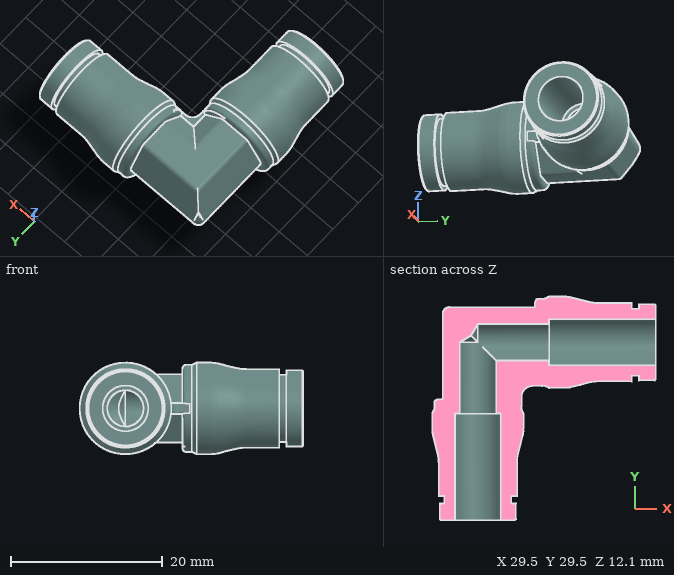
import cadquery as cq
import math

MITRE_NORMAL = (1, 1, 0)

longest_side = 29.48
barrel_radius = 6.05
socket_end = longest_side - barrel_radius
sleeve_start = 7.45
rim_crown = 7.58
rim_start = 8.0
rim_end = 8.75
barrel_start = 9.37
barrel_end = 11.32
shoulder_length = 0.97
taper_length = 2.27
neck_blend_length = 1.3
taper_angle = math.radians(14.2)
neck_end = 20.25
collar_start = 21.2

face_radius = 5.07
rim_crown_radius = 5.5
rim_radius = 5.75
groove_radius = 4.45
collar_radius = 5.05
collar_chamfer = 0.18

tube_bore_radius = 3.0
flow_bore_radius = 2.4
drill_tip_angle = math.radians(118)

elbow_half_height = 4.5
outer_slope = math.radians(30)
outer_flat = 2.27
outer_apex = outer_flat + elbow_half_height * math.tan(outer_slope)
inner_flat = 2.18
inner_edge = 5.2
inner_edge_half_height = 0.77
outer_apex_fillet = 1.33
flat_fillet = 0.7
outer_crest = outer_apex - outer_apex_fillet * (1 / math.cos(outer_slope) - 1)
nose_radius = 0.97
nose_center = outer_crest - nose_radius

web_half_thickness = 0.68
web_offset = 5.78
web_end = 8.45
web_corner_fillet = 1.42
web_edge_fillet = 0.18


def make_sleeve():
    """Revolved outside of the +X socket, without its bores."""
    blend_drop = math.tan(taper_angle / 2)
    taper_start = barrel_end + shoulder_length
    taper_start_radius = barrel_radius - shoulder_length * blend_drop
    taper_end = taper_start + taper_length
    taper_end_radius = taper_start_radius - taper_length * math.tan(taper_angle)
    neck_start = taper_end + neck_blend_length
    neck_radius = taper_end_radius - neck_blend_length * blend_drop
    profile = (
        cq.Workplane("XY")
        .moveTo(sleeve_start, 0)
        .lineTo(sleeve_start, face_radius)
        .tangentArcPoint((rim_crown, rim_crown_radius), relative=False)
        .tangentArcPoint((rim_start, rim_radius), relative=False)
        .lineTo(rim_end, rim_radius)
        .lineTo(barrel_start, barrel_radius)
        .lineTo(barrel_end, barrel_radius)
        .tangentArcPoint((taper_start, taper_start_radius), relative=False)
        .lineTo(taper_end, taper_end_radius)
        .tangentArcPoint((neck_start, neck_radius), relative=False)
        .lineTo(neck_end, neck_radius)
        .lineTo(neck_end, groove_radius)
        .lineTo(collar_start, groove_radius)
        .lineTo(collar_start, collar_radius)
        .lineTo(socket_end - collar_chamfer, collar_radius)
        .lineTo(socket_end, collar_radius - collar_chamfer)
        .lineTo(socket_end, 0)
        .close()
    )
    return profile.revolve(360, (0, 0, 0), (1, 0, 0))


def make_elbow_arm():
    """Hexagonal arm along +X, cut off at the mitre plane."""
    section = [
        (outer_apex, 0),
        (outer_flat, elbow_half_height),
        (-inner_flat, elbow_half_height),
        (-inner_edge, inner_edge_half_height),
        (-inner_edge, -inner_edge_half_height),
        (-inner_flat, -elbow_half_height),
        (outer_flat, -elbow_half_height),
    ]
    arm = (
        cq.Workplane("YZ")
        .workplane(offset=-outer_apex)
        .polyline(section)
        .close()
        .extrude(barrel_start + outer_apex)
    )
    arm = arm.edges("|X and >Y").fillet(outer_apex_fillet)
    arm = arm.faces(">Z or <Z").edges("|X").fillet(flat_fillet)
    arm_side = (
        cq.Workplane("XY")
        .polyline([
            (-barrel_start, barrel_start),
            (barrel_start, barrel_start),
            (barrel_start, -barrel_start),
        ])
        .close()
        .extrude(elbow_half_height, both=True)
    )
    arm = arm.intersect(arm_side)

    corner = (
        cq.Workplane("XY")
        .box(nose_center, nose_center, 2 * elbow_half_height, centered=(False, False, True))
        .translate((-2 * nose_center, nose_center, 0))
    )
    return arm.cut(corner)


def make_nose():
    """Cone with a rounded rim that closes the outside corner of the elbow."""
    cone_height = (outer_apex - nose_center) / math.tan(outer_slope)
    nose_rim_half_height = outer_apex_fillet * math.sin(outer_slope)
    nose_rim_radius = nose_radius - outer_apex_fillet * (1 - math.cos(outer_slope))
    nose = (
        cq.Workplane("XZ")
        .moveTo(0, -cone_height)
        .lineTo(nose_rim_radius, -nose_rim_half_height)
        .threePointArc((nose_radius, 0), (nose_rim_radius, nose_rim_half_height))
        .lineTo(0, cone_height)
        .close()
        .revolve(360, (0, 0, 0), (0, 1, 0))
    )
    return nose.translate((-nose_center, nose_center, 0))


def make_web():
    """Flat web that fills the inside corner between the two sleeves."""
    web = (
        cq.Workplane("XY")
        .polyline([
            (0, 0),
            (web_end, 0),
            (web_end, -web_offset),
            (web_offset, -web_offset),
            (web_offset, -web_end),
            (0, -web_end),
        ])
        .close()
        .extrude(web_half_thickness, both=True)
    )
    inside_corner = cq.selectors.NearestToPointSelector((web_offset, -web_offset, 0))
    web = web.edges("|Z").edges(inside_corner).fillet(web_corner_fillet)
    return web.faces("+Z or -Z").edges().fillet(web_edge_fillet)


def make_bores():
    """Stepped bore of the +X socket: tube bore, flow bore and the cone of its drill tip."""
    tip_length = flow_bore_radius / math.tan(drill_tip_angle / 2)
    return (
        cq.Workplane("XY")
        .polyline([
            (-tip_length, 0),
            (0, flow_bore_radius),
            (barrel_start, flow_bore_radius),
            (barrel_start, tube_bore_radius),
            (socket_end, tube_bore_radius),
            (socket_end, 0),
        ])
        .close()
        .revolve(360, (0, 0, 0), (1, 0, 0))
    )


def with_mirror(half):
    """Join a +X side body to its -Y side twin."""
    return half.union(half.mirror(MITRE_NORMAL))


body = with_mirror(make_elbow_arm()).union(make_nose())
body = body.union(with_mirror(make_sleeve())).union(make_web())
result = body.cut(with_mirror(make_bores()))